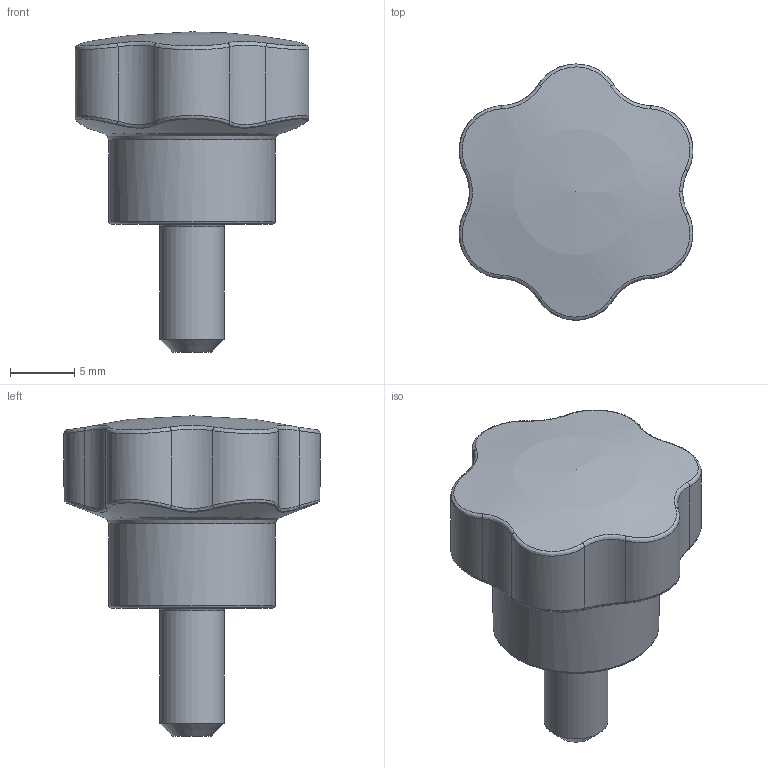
import cadquery as cq
import math

stud_diameter = 5.0
stud_length = 10.0
tip_chamfer = 1.0
stud_root_fillet = 0.2

collar_diameter = 13.0
collar_edge_fillet = 0.2
neck_fillet = 0.5

lobe_count = 6
grip_radius = 10.0
lobe_radius = 3.5
valley_radius = 3.5

total_height = 25.0
top_dome_radius = 44.0
underside_radius = 23.0
underside_pole_height = 16.0
rim_fillet = 0.3

stud_radius = stud_diameter / 2
collar_radius = collar_diameter / 2
lobe_pitch = 2 * math.pi / lobe_count
lobe_center_radius = grip_radius - lobe_radius
center_spacing = lobe_radius + valley_radius
valley_center_radius = lobe_center_radius * math.cos(lobe_pitch / 2) + math.sqrt(
    center_spacing**2 - (lobe_center_radius * math.sin(lobe_pitch / 2)) ** 2
)
valley_floor_radius = valley_center_radius - valley_radius
underside_center_height = underside_pole_height + underside_radius
neck_height = underside_center_height - math.sqrt(underside_radius**2 - collar_radius**2)
collar_top = (neck_height + total_height) / 2


def polar(radius, angle):
    return (radius * math.cos(angle), radius * math.sin(angle))


def tangent_point(lobe_angle, valley_angle):
    """Point where a lobe arc meets the neighbouring valley arc."""
    lobe_x, lobe_y = polar(lobe_center_radius, lobe_angle)
    valley_x, valley_y = polar(valley_center_radius, valley_angle)
    share = lobe_radius / center_spacing
    return (lobe_x + share * (valley_x - lobe_x), lobe_y + share * (valley_y - lobe_y))


def make_star_prism():
    """Prism with the lobed outline, as tall as the whole part."""
    first_lobe = math.pi / 2
    half_pitch = lobe_pitch / 2
    outline = cq.Workplane("XY").moveTo(*tangent_point(first_lobe, first_lobe - half_pitch))
    for index in range(lobe_count):
        lobe = first_lobe + index * lobe_pitch
        valley = lobe + half_pitch
        next_lobe = lobe + lobe_pitch
        outline = outline.threePointArc(polar(grip_radius, lobe), tangent_point(lobe, valley))
        outline = outline.threePointArc(
            polar(valley_floor_radius, valley), tangent_point(next_lobe, valley)
        )
    return outline.close().extrude(total_height)


def make_grip():
    """Star prism trimmed by the top dome and the underside, with rounded rims."""
    top_ball = cq.Workplane("XY").sphere(top_dome_radius)
    top_ball = top_ball.translate((0, 0, total_height - top_dome_radius))
    underside_ball = cq.Workplane("XY").sphere(underside_radius)
    underside_ball = underside_ball.translate((0, 0, underside_center_height))
    grip = make_star_prism().intersect(top_ball).intersect(underside_ball)
    return grip.faces("%SPHERE").edges("not %CIRCLE").fillet(rim_fillet)


def make_collar():
    """Cylinder reaching into the grip, with a rounded lower edge."""
    collar = cq.Workplane("XY").workplane(offset=stud_length)
    collar = collar.circle(collar_radius).extrude(collar_top - stud_length)
    return collar.faces("<Z").edges().fillet(collar_edge_fillet)


def make_stud():
    """Plain stud with a chamfered tip."""
    stud = cq.Workplane("XY").circle(stud_radius).extrude(stud_length)
    return stud.faces("<Z").edges().chamfer(tip_chamfer)


def round_junction(body, radius, height, fillet):
    """Concave fillet on the circular corner of the given radius at the given height."""
    reach = radius + fillet
    lower_corner = (-reach, -reach, height - fillet / 2)
    upper_corner = (reach, reach, height + fillet / 2)
    junction = cq.selectors.BoxSelector(lower_corner, upper_corner, boundingbox=True)
    return body.edges("%CIRCLE").edges(junction).fillet(fillet)


knob = make_grip().union(make_collar())
knob = round_junction(knob, collar_radius, neck_height, neck_fillet)
knob = knob.union(make_stud())
result = round_junction(knob, stud_radius, stud_length, stud_root_fillet)